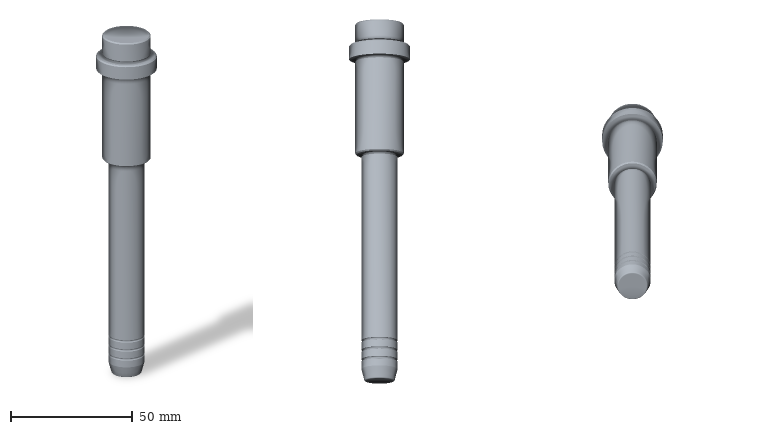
import cadquery as cq
import math

total_length = 150.0

collar_diameter = 25.0
shank_diameter = 20.0
rod_diameter = 15.0

head_length = 9.0
collar_length = 6.0
shank_length = 40.0
tip_length = 5.0

tip_half_angle = 15.0
tip_round = 0.5
tip_diameter = rod_diameter - 2 * tip_length * math.tan(math.radians(tip_half_angle))

edge_chamfer = 0.5

neck_length = 1.0
neck_depth = 0.5
neck_diameter = rod_diameter - 2 * neck_depth

groove_radius = 0.5
tip_groove_count = 3
tip_groove_pitch = 4.0
lowest_tip_groove_z = 8.5

collar_top_z = total_length - head_length
collar_bottom_z = collar_top_z - collar_length
shank_bottom_z = collar_bottom_z - shank_length
neck_bottom_z = shank_bottom_z - neck_length


def cylinder(diameter, bottom_z, top_z):
    """Solid cylinder on the Z axis between two heights."""
    return cq.Workplane("XY").workplane(offset=bottom_z).circle(diameter / 2).extrude(top_z - bottom_z)


def round_groove(diameter, middle_z):
    """Torus that cuts a half-round groove into a cylinder of the given diameter."""
    surface_radius = diameter / 2
    section = cq.Workplane("XZ").center(surface_radius, middle_z).circle(groove_radius)
    return section.revolve(360, (-surface_radius, 0, 0), (-surface_radius, 1, 0))


def make_head():
    """Short spigot above the collar, chamfered on top and grooved at its foot."""
    head = cylinder(shank_diameter, collar_top_z, total_length)
    head = head.faces(">Z").edges().chamfer(edge_chamfer)
    return head.cut(round_groove(shank_diameter, collar_top_z + groove_radius))


def make_collar():
    """Locating collar with a chamfered upper edge."""
    collar = cylinder(collar_diameter, collar_bottom_z, collar_top_z)
    return collar.faces(">Z").edges().chamfer(edge_chamfer)


def make_shank():
    """Thick shank below the collar, grooved at the collar and chamfered at its lower end."""
    shank = cylinder(shank_diameter, shank_bottom_z, collar_bottom_z)
    shank = shank.faces("<Z").edges().chamfer(edge_chamfer)
    return shank.cut(round_groove(shank_diameter, collar_bottom_z - groove_radius))


def make_rod():
    """Long rod with a relief neck at the shank and a row of grooves near the tip."""
    rod = cylinder(rod_diameter, tip_length, neck_bottom_z)
    for index in range(tip_groove_count):
        groove_z = lowest_tip_groove_z + index * tip_groove_pitch
        rod = rod.cut(round_groove(rod_diameter, groove_z))
    neck = cylinder(neck_diameter, neck_bottom_z, shank_bottom_z)
    return rod.union(neck)


def make_tip():
    """Conical lead-in with a rounded end."""
    end_circle = cq.Workplane("XY").circle(tip_diameter / 2)
    cone = end_circle.workplane(offset=tip_length).circle(rod_diameter / 2).loft()
    return cone.faces("<Z").edges().fillet(tip_round)


result = make_head().union(make_collar()).union(make_shank()).union(make_rod()).union(make_tip())